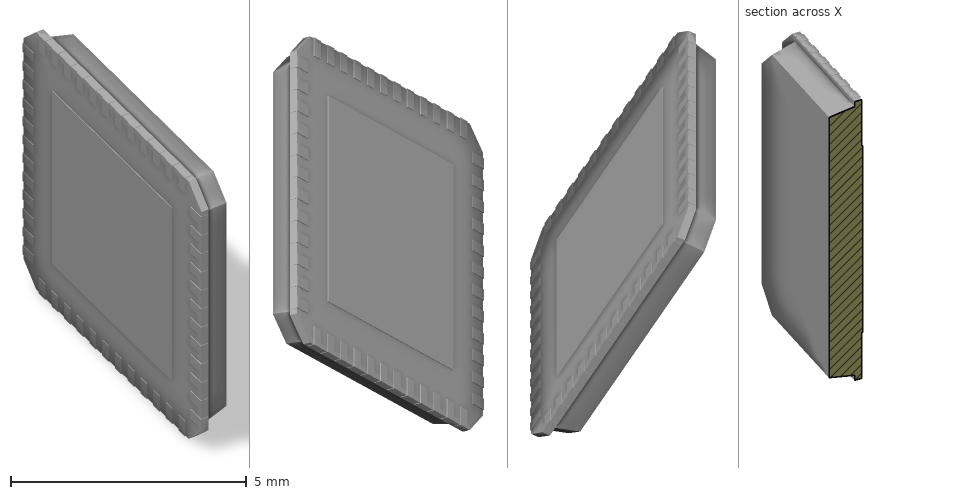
import cadquery as cq
import math

overall_width = 7.02
overall_depth = 0.8

pads_per_side = 12
pad_pitch = 0.5
pad_width = 0.25
pad_length = 0.42
pad_overhang = 0.01
pad_standoff = 0.02
pad_thickness = 0.18

thermal_pad_width = 4.7

base_width = overall_width - 2 * pad_overhang
base_front = pad_standoff
base_back = 0.2
base_chamfer = 0.5

cap_depth = overall_depth - base_back
cap_draft_angle = 10
cap_front_width = 6.75
cap_back_width = cap_front_width - 2 * cap_depth * math.tan(math.radians(cap_draft_angle))
cap_chamfer = 0.51


def chamfered_square(width, chamfer):
    """Corner points of a square centred on the Y axis with its corners cut off."""
    half = width / 2
    inner = half - chamfer
    return [
        (inner, half), (half, inner), (half, -inner), (inner, -half),
        (-inner, -half), (-half, -inner), (-half, inner), (-inner, half),
    ]


def plane_at(y):
    """Plane facing +Y at the given depth, with its local y axis along Z."""
    return cq.Plane(origin=(0, y, 0), xDir=(-1, 0, 0), normal=(0, 1, 0))


def make_base():
    """Flat plate with cut corners that carries the pads."""
    outline = chamfered_square(base_width, base_chamfer)
    return cq.Workplane(plane_at(base_front)).polyline(outline).close().extrude(base_back - base_front)


def make_cap():
    """Loft between two cut-corner squares with equal corner cuts."""
    return (
        cq.Workplane(plane_at(base_back))
        .polyline(chamfered_square(cap_front_width, cap_chamfer)).close()
        .workplane(offset=cap_depth)
        .polyline(chamfered_square(cap_back_width, cap_chamfer)).close()
        .loft(ruled=True)
    )


def make_pad_row():
    """Row of contact pads along the +Z side."""
    first_x = -(pads_per_side - 1) * pad_pitch / 2
    pad_z = (overall_width - pad_length) / 2
    positions = [(first_x + i * pad_pitch, pad_z) for i in range(pads_per_side)]
    return (
        cq.Workplane(plane_at(0))
        .pushPoints(positions)
        .rect(pad_width, pad_length)
        .extrude(pad_thickness)
    )


def make_thermal_pad():
    """Square pad in the middle of the contact face."""
    return cq.Workplane(plane_at(0)).rect(thermal_pad_width, thermal_pad_width).extrude(pad_thickness)


result = make_base().union(make_cap()).union(make_thermal_pad())
pad_row = make_pad_row()
for quarter_turn in range(4):
    result = result.union(pad_row.rotate((0, 0, 0), (0, 1, 0), 90 * quarter_turn))